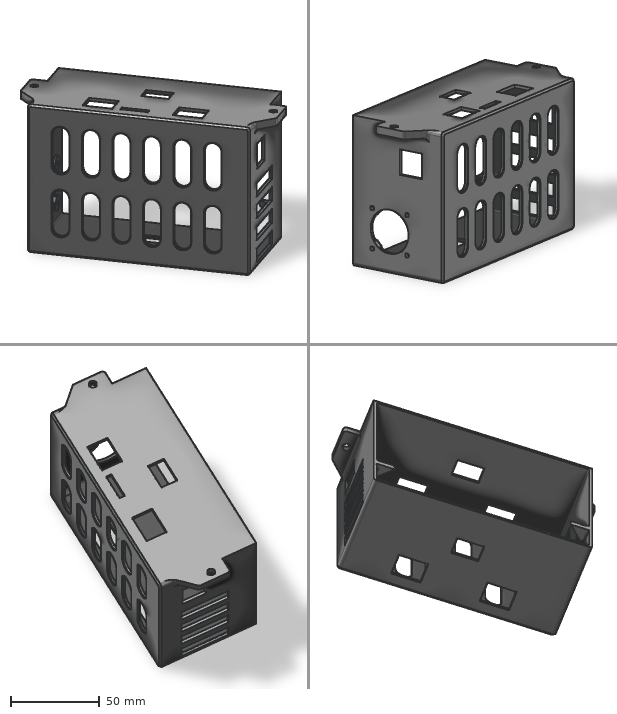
import cadquery as cq
body_width = 131.9
body_depth = 62.0
body_height = 89.6
wall = 2.0
corner_radius = 2.3
inner_radius = 1.0
front_chamfer = 1.2

tab_span = 151.6
tab_thickness = 4.7
tab_back = 40.2
tab_corner = 20.2
tab_corner_radius = 2.0
tab_root_radius = 2.3
tab_hole_spacing = 141.6
tab_hole_y = 30.3
tab_hole_diameter = 4.5

vent_width = 10.0
vent_height = 28.2
vent_pitch_x = 18.0
vent_pitch_z = 38.0
vent_columns = 6
vent_rows = 2
vent_centre_x = -1.0
vent_centre_z = 44.9
vent_chamfer = 0.5

window_front = 7.9
side_window_width = 17.6
side_window_depth = 12.9
side_window_spacing = 53.4
rear_window_width = 16.2
rear_window_depth = 10.2
rear_window_front = 32.1
floor_window_shift = -0.5
slit_width = 16.2
slit_depth = 3.3
slit_x = -5.0

square_size = 15.2
square_front = 14.5
square_bottom = 59.7

fan_y = 36.8
fan_z = 24.9
fan_diameter = 26.0
fan_screw_spacing = 24.0
fan_screw_diameter = 2.6
fan_pad_diameter = 9.1
fan_pad_height = 1.4

louvre_front = 14.0
louvre_back = 44.3
louvre_bottom = 3.6
louvre_height = 8.2
louvre_pitch = 13.2
louvre_count = 4

boss_spacing = 104.3
boss_z = 5.0
boss_radius = 5.2
boss_end = 8.0

gusset_front = 51.1
gusset_bottom = 19.0
gusset_thickness = 4.0
gusset_root_radius = 2.0

half_width = body_width / 2
half_span = tab_span / 2
tab_reach = half_span - half_width
tab_front = tab_corner - tab_reach
tab_bottom = body_height - tab_thickness
inner_half_width = half_width - wall
edge_tolerance = 0.2


def block(x_min, x_max, y_min, y_max, z_min, z_max):
    """Make a box from its limits along X, Y and Z."""
    size = (x_max - x_min, y_max - y_min, z_max - z_min)
    return cq.Workplane("XY").box(*size, centered=False).translate((x_min, y_min, z_min))


def tab_plate():
    right_side = [
        (half_width - corner_radius, tab_front - corner_radius),
        (half_span, tab_corner),
        (half_span, tab_back),
    ]
    left_side = [(-x, y) for x, y in reversed(right_side)]
    base = cq.Workplane("XY").workplane(offset=tab_bottom)
    plate = base.polyline(right_side + left_side).close().extrude(tab_thickness)
    tab_corners = plate.edges("|Z").filter(lambda edge: abs(edge.Center().x) > half_width)
    return tab_corners.fillet(tab_corner_radius)


def is_tab_root(edge):
    """Tell whether an edge is where a tab's underside or slanted side meets the body."""
    centre = edge.Center()
    beside_wall = half_width - corner_radius < abs(centre.x) < half_width + edge_tolerance
    along_tab = tab_front - corner_radius < centre.y < tab_back - edge_tolerance
    below_roof = tab_bottom - edge_tolerance < centre.z < body_height - edge_tolerance
    return beside_wall and along_tab and below_roof


def outer_shell():
    body = block(-half_width, half_width, 0, body_depth, 0, body_height)
    body = body.edges("|Y").fillet(corner_radius)
    square_roof_back = block(-half_width, half_width, tab_back, body_depth, tab_bottom, body_height)
    body = body.union(square_roof_back).union(tab_plate())
    body = body.edges().filter(is_tab_root).fillet(tab_root_radius)
    return body.faces("<Y").edges().chamfer(front_chamfer)


def cavity():
    inside = block(-inner_half_width, inner_half_width, wall, body_depth, wall, body_height - wall)
    return inside.edges("|Y").fillet(inner_radius)


def front_bosses():
    centres = cq.Workplane("XZ", origin=(0, 0, boss_z)).rarray(boss_spacing, 1.5, 2, 1)
    cylinders = centres.circle(boss_radius).extrude(-boss_end)
    inset = wall / 2
    room = block(-half_width + inset, half_width - inset, inset, body_depth, inset, body_height)
    return cylinders.intersect(room)


def gusset(side):
    """Make a gusset, with a 45 degree front, on the right (side = 1) or left (side = -1) wall."""
    root_x = side * inner_half_width
    leg = body_depth - gusset_front
    outline = [
        (root_x, gusset_front),
        (root_x - side * leg, body_depth),
        (root_x, body_depth),
    ]
    base = cq.Workplane("XY").workplane(offset=gusset_bottom)
    return base.polyline(outline).close().extrude(gusset_thickness)


def is_gusset_top_root(edge):
    """Tell whether an edge is where a gusset's top meets the side wall."""
    centre = edge.Center()
    on_wall = abs(abs(centre.x) - inner_half_width) < edge_tolerance
    at_top = abs(centre.z - gusset_bottom - gusset_thickness) < edge_tolerance
    return on_wall and at_top


def fan_screw_points(start_x):
    face = cq.Workplane("YZ", origin=(start_x, fan_y, fan_z))
    return face.rarray(fan_screw_spacing, fan_screw_spacing, 2, 2)


def fan_screw_pads():
    return fan_screw_points(-half_width + wall / 2).circle(fan_pad_diameter / 2).extrude(wall / 2 + fan_pad_height)


def vent_slots():
    grid = cq.Workplane("XZ", origin=(vent_centre_x, 0, vent_centre_z)).rarray(
        vent_pitch_x, vent_pitch_z, vent_columns, vent_rows
    )
    slots = grid.slot2D(vent_height, vent_width, 90).extrude(-wall)
    rim_height = vent_height + 2 * vent_chamfer
    rim_width = vent_width + 2 * vent_chamfer
    rims = grid.slot2D(rim_height, rim_width, 90).extrude(-vent_chamfer, taper=45)
    return slots.union(rims)


def window_set(shift_y, z_min, z_max):
    """Make cutters for the rear window and the two side windows, between two heights."""
    front_y = window_front + shift_y
    rear_y = rear_window_front + shift_y
    half_rear = rear_window_width / 2
    cutters = block(-half_rear, half_rear, rear_y, rear_y + rear_window_depth, z_min, z_max)
    for side in (-1, 1):
        x_min = (side * side_window_spacing - side_window_width) / 2
        x_max = x_min + side_window_width
        cutters = cutters.union(block(x_min, x_max, front_y, front_y + side_window_depth, z_min, z_max))
    return cutters


def roof_slit():
    x_min = slit_x - slit_width / 2
    slit_back = window_front + slit_depth
    return block(x_min, x_min + slit_width, window_front, slit_back, body_height - wall, body_height)


def square_openings():
    back = square_front + square_size
    top = square_bottom + square_size
    return block(-half_width, half_width, square_front, back, square_bottom, top)


def louvres():
    cutters = cq.Workplane("XY")
    for index in range(louvre_count):
        bottom = louvre_bottom + index * louvre_pitch
        top = bottom + louvre_height
        cutters = cutters.add(block(inner_half_width, half_width, louvre_front, louvre_back, bottom, top))
    return cutters.combine()


def fan_opening():
    depth = wall + fan_pad_height
    opening = cq.Workplane("YZ", origin=(-half_width, fan_y, fan_z)).circle(fan_diameter / 2).extrude(depth)
    screw_holes = fan_screw_points(-half_width).circle(fan_screw_diameter / 2).extrude(depth)
    return opening.union(screw_holes)


def tab_holes():
    centres = cq.Workplane("XY", origin=(0, tab_hole_y, tab_bottom)).rarray(tab_hole_spacing, 1.5, 2, 1)
    return centres.circle(tab_hole_diameter / 2).extrude(tab_thickness)


enclosure = outer_shell().cut(cavity())
enclosure = enclosure.union(gusset(-1)).union(gusset(1))
enclosure = enclosure.edges("|Y").filter(is_gusset_top_root).fillet(gusset_root_radius)
enclosure = enclosure.union(front_bosses()).union(fan_screw_pads())
enclosure = enclosure.cut(vent_slots())
enclosure = enclosure.cut(window_set(0, body_height - wall, body_height)).cut(roof_slit())
enclosure = enclosure.cut(window_set(floor_window_shift, 0, wall))
enclosure = enclosure.cut(square_openings()).cut(louvres()).cut(fan_opening())
result = enclosure.cut(tab_holes())